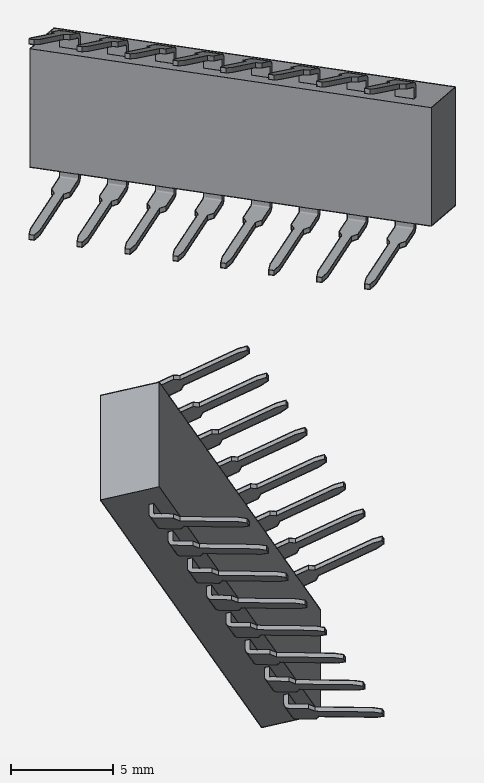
import cadquery as cq
import math

body_length = 21.25
body_depth = 3.1
body_height = 6.2

overall_depth = 7.1
overall_height = 10.5

leads_per_row = 8
row_span = 17.77
lead_pitch = row_span / (leads_per_row - 1)

strip_thickness = 0.25
strip_setback = 0.79
bend_inner_radius = 0.09
bend_outer_radius = bend_inner_radius + strip_thickness
blade_tilt = 15.0

root_width = 1.0
shank_width = 0.5
tip_width = 0.28
shoulder_standoff = 0.25
shoulder_length = (root_width - shank_width) / 2
taper_length = 0.45

sin_tilt = math.sin(math.radians(blade_tilt))
cos_tilt = math.cos(math.radians(blade_tilt))
tan_tilt = math.tan(math.radians(blade_tilt))
body_front_y = -body_depth / 2
strip_front_y = body_front_y + strip_setback
strip_back_y = strip_front_y + strip_thickness
tip_y = body_depth / 2 - overall_depth
tip_top_z = overall_height / 2
tip_bottom_z = tip_top_z - strip_thickness / cos_tilt

bend_y = strip_front_y - bend_inner_radius
bend_end_y = bend_y + bend_outer_radius * sin_tilt
bend_end_z = tip_top_z - (bend_end_y - tip_y) * tan_tilt
bend_z = bend_end_z - bend_outer_radius * cos_tilt


def bend_point(radius, angle):
    """Point (y, z) on the bend, with the angle in degrees up from +Y."""
    turn = math.radians(angle)
    return (bend_y + radius * math.cos(turn), bend_z + radius * math.sin(turn))


def make_bent_strip():
    """Full-width strip rising from the body, bent into the sloping blade."""
    bend_angle = 90 - blade_tilt
    body_top_z = body_height / 2
    return (
        cq.Workplane("YZ")
        .moveTo(strip_front_y, body_top_z)
        .lineTo(strip_back_y, body_top_z)
        .lineTo(strip_back_y, bend_z)
        .threePointArc(
            bend_point(bend_outer_radius, bend_angle / 2),
            bend_point(bend_outer_radius, bend_angle),
        )
        .lineTo(tip_y, tip_top_z)
        .lineTo(tip_y, tip_bottom_z)
        .lineTo(*bend_point(bend_inner_radius, bend_angle))
        .threePointArc(
            bend_point(bend_inner_radius, bend_angle / 2),
            bend_point(bend_inner_radius, 0),
        )
        .close()
        .extrude(root_width / 2, both=True)
    )


def make_lead_outline():
    """Upright prism whose walls trim the strip to the lead's outline."""
    shoulder_y = body_front_y - shoulder_standoff
    right_edge = [
        (root_width / 2, strip_back_y),
        (root_width / 2, shoulder_y),
        (shank_width / 2, shoulder_y - shoulder_length),
        (shank_width / 2, tip_y + taper_length),
        (tip_width / 2, tip_y),
    ]
    left_edge = [(-x, y) for x, y in reversed(right_edge)]
    return (
        cq.Workplane("XY")
        .polyline(right_edge + left_edge)
        .close()
        .extrude(overall_height)
    )


body = cq.Workplane("XY").box(body_length, body_depth, body_height)
upper_lead = make_bent_strip().intersect(make_lead_outline())
lower_lead = upper_lead.mirror("XY")

result = body
for index in range(leads_per_row):
    lead_x = -row_span / 2 + index * lead_pitch
    result = result.union(upper_lead.translate((lead_x, 0, 0)))
    result = result.union(lower_lead.translate((lead_x, 0, 0)))